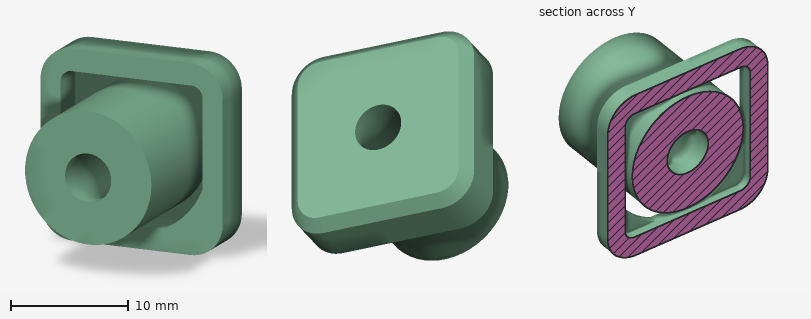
import cadquery as cq

cap_side = 17.0
cap_thickness = 5.0
cap_corner_radius = 3.0
cap_chamfer = 1.0

pocket_width = 13.23
pocket_height = 12.99
pocket_depth = 3.0
pocket_corner_radius = 1.0

web_thickness = 0.7
web_arc_radius = 7.1

total_depth = 14.0
stem_diameter = 11.8
bore_diameter = 4.3

stem_length = total_depth - cap_thickness


def cylinder_along_y(diameter, y_start, y_end):
    """Cylinder on the Y axis between two Y positions."""
    base = cq.Workplane("XZ", origin=(0, y_start, 0))
    return base.circle(diameter / 2).extrude(y_start - y_end)


def rounded_block(width, height, depth, corner_radius):
    """Block from Y = 0 to Y = depth, centred on the Y axis, with rounded corners."""
    block = cq.Workplane("XZ").rect(width, height).extrude(-depth)
    return block.edges("|Y").fillet(corner_radius)


def make_cap():
    cap = rounded_block(cap_side, cap_side, cap_thickness, cap_corner_radius)
    return cap.faces(">Y").edges().chamfer(cap_chamfer)


def make_corner_webs(pocket):
    """Parts of the lower half of the pocket mouth that lie outside an arc about the stem axis."""
    lower_half = cq.Workplane("XY").box(
        pocket_width, web_thickness, pocket_height / 2, centered=(True, False, False)
    )
    lower_half = lower_half.translate((0, 0, -pocket_height / 2))
    arc_opening = cylinder_along_y(2 * web_arc_radius, 0, web_thickness)
    return pocket.intersect(lower_half).cut(arc_opening)


def make_pocket():
    pocket = rounded_block(pocket_width, pocket_height, pocket_depth, pocket_corner_radius)
    return pocket.cut(make_corner_webs(pocket))


stem = cylinder_along_y(stem_diameter, -stem_length, pocket_depth)
bore = cylinder_along_y(bore_diameter, -stem_length, cap_thickness)

result = make_cap().cut(make_pocket()).union(stem).cut(bore)